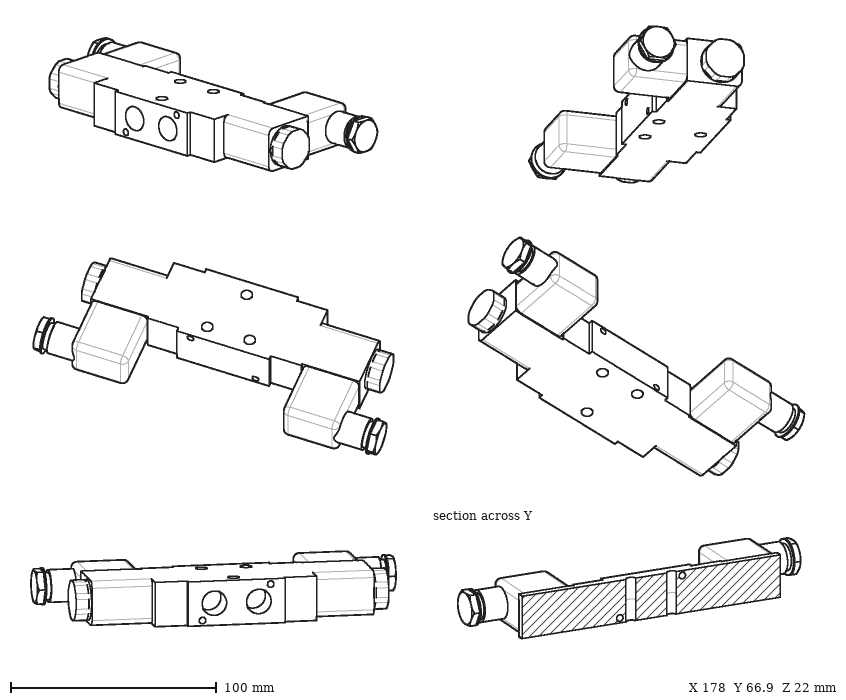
import cadquery as cq
import math

BODY_HEIGHT = 22.0
PAD_LENGTH = 48.0
PAD_DEPTH = 40.0
SHOULDER_LENGTH = 80.1
PAD_STEP = 2.1
COIL_END = 70.0
COIL_BACK = 16.9
COIL_FRONT = -11.0
EDGE_ROUND = 3.0

MOUNT_DIAMETER = 5.5
MOUNT_Y = 12.5
PORT_DIAMETER = 12.1
PORT_DEPTH = 14.2
PORT_SPACING = 22.0
PIN_HOLE_DIAMETER = 3.2
PIN_HOLE_X = 16.9
PIN_HOLE_Z = 8.4

NUT_DIAMETER = 20.0
NUT_COLLAR = 1.2
NUT_GRIP = 6.4
FLAT_COUNT = 8
FLAT_WIDTH = 4.8

CONNECTOR_LENGTH = 29.0
CONNECTOR_HEIGHT = 21.0
CONNECTOR_INSET = 0.4
CONNECTOR_BACK = 46.0

GLAND_TIP = 89.0
GLAND_DIAMETER = 16.0
GLAND_AXIS_Y = 37.7
GLAND_SHOULDER = 81.9
NECK_DIAMETER = 13.4
FLANGE_DIAMETER = 18.0
FLANGE_THICKNESS = 0.7
HEX_LENGTH = 3.7
HEX_CORNERS = 18.3
CHAMFER_ANGLE = 30


def box(x_min, x_max, y_min, y_max, height):
    """Box between the given limits, centred on Z = 0."""
    return cq.Workplane("XY").box(
        x_max - x_min, y_max - y_min, height, centered=(False, False, True)
    ).translate((x_min, y_min, 0))


def rod(x_start, x_end, diameter, y=0):
    """Cylinder along X."""
    return cq.Workplane("YZ", origin=(x_start, y, 0)).circle(diameter / 2).extrude(x_end - x_start)


def coil_nut():
    """Nut of the right-hand coil: a collar and a grip with flats."""
    grip_start = COIL_END + NUT_COLLAR
    nut = rod(COIL_END, grip_start + NUT_GRIP, NUT_DIAMETER)
    flat_distance = math.sqrt((NUT_DIAMETER / 2) ** 2 - (FLAT_WIDTH / 2) ** 2)
    cutter_height = 2 * FLAT_WIDTH
    cutter = box(grip_start, grip_start + NUT_GRIP, flat_distance, NUT_DIAMETER, cutter_height)
    for i in range(FLAT_COUNT):
        nut = nut.cut(cutter.rotate((0, 0, 0), (1, 0, 0), i * 360 / FLAT_COUNT))
    return nut


def coil():
    """Right-hand coil housing with its nut."""
    housing = box(SHOULDER_LENGTH / 2, COIL_END, COIL_FRONT, COIL_BACK, BODY_HEIGHT)
    housing = housing.edges("|X and <Y").fillet(EDGE_ROUND)
    return housing.union(coil_nut())


def valve_body():
    shoulder_half_depth = PAD_DEPTH / 2 - PAD_STEP
    body = cq.Workplane("XY").box(PAD_LENGTH, PAD_DEPTH, BODY_HEIGHT)
    body = body.union(cq.Workplane("XY").box(SHOULDER_LENGTH, 2 * shoulder_half_depth, BODY_HEIGHT))
    right_coil = coil()
    body = body.union(right_coil).union(right_coil.mirror("YZ"))

    mount_points = [(-PORT_SPACING / 2, MOUNT_Y), (PORT_SPACING / 2, MOUNT_Y), (0, -MOUNT_Y)]
    mounts = cq.Workplane("XY").pushPoints(mount_points).circle(MOUNT_DIAMETER / 2)
    body = body.cut(mounts.extrude(BODY_HEIGHT, both=True))

    front = cq.Workplane("XZ", origin=(0, -PAD_DEPTH / 2, 0))
    port_points = [(-PORT_SPACING / 2, 0), (PORT_SPACING / 2, 0)]
    body = body.cut(front.pushPoints(port_points).circle(PORT_DIAMETER / 2).extrude(-PORT_DEPTH))

    pin_points = [(-PIN_HOLE_X, -PIN_HOLE_Z), (PIN_HOLE_X, PIN_HOLE_Z)]
    return body.cut(front.pushPoints(pin_points).circle(PIN_HOLE_DIAMETER / 2).extrude(-PAD_DEPTH))


def gland_hexagon():
    """Hexagon with corners towards +Y and -Y and a conical chamfer on its outer end."""
    corner_radius = HEX_CORNERS / 2
    flat_radius = corner_radius * math.cos(math.pi / 6)
    chamfer = (corner_radius - flat_radius) * math.tan(math.radians(CHAMFER_ANGLE))
    hexagon = (
        cq.Workplane("YZ", origin=(GLAND_TIP - HEX_LENGTH, GLAND_AXIS_Y, 0))
        .polygon(6, HEX_CORNERS)
        .extrude(HEX_LENGTH)
    )
    envelope = (
        cq.Workplane("XY")
        .moveTo(GLAND_TIP - HEX_LENGTH, 0)
        .lineTo(GLAND_TIP - HEX_LENGTH, corner_radius)
        .lineTo(GLAND_TIP - chamfer, corner_radius)
        .lineTo(GLAND_TIP, flat_radius)
        .lineTo(GLAND_TIP, 0)
        .close()
        .revolve(360, (0, 0, 0), (1, 0, 0))
        .translate((0, GLAND_AXIS_Y, 0))
    )
    return hexagon.intersect(envelope)


def connector():
    """Right-hand plug connector with its cable gland."""
    outer_end = COIL_END - CONNECTOR_INSET
    shell = box(outer_end - CONNECTOR_LENGTH, outer_end, COIL_BACK, CONNECTOR_BACK, CONNECTOR_HEIGHT)
    shell = shell.edges("|Y or >Y").fillet(EDGE_ROUND)
    hex_start = GLAND_TIP - HEX_LENGTH
    sleeve_root = outer_end - EDGE_ROUND
    sleeve = rod(sleeve_root, GLAND_SHOULDER, GLAND_DIAMETER, GLAND_AXIS_Y)
    neck = rod(GLAND_SHOULDER, hex_start, NECK_DIAMETER, GLAND_AXIS_Y)
    flange = rod(hex_start - FLANGE_THICKNESS, hex_start, FLANGE_DIAMETER, GLAND_AXIS_Y)
    return shell.union(sleeve).union(neck).union(flange).union(gland_hexagon())


body = valve_body()
right_connector = connector()
connectors = [right_connector, right_connector.mirror("YZ")]

result = cq.Compound.makeCompound([body.val(), *[item.val() for item in connectors]])